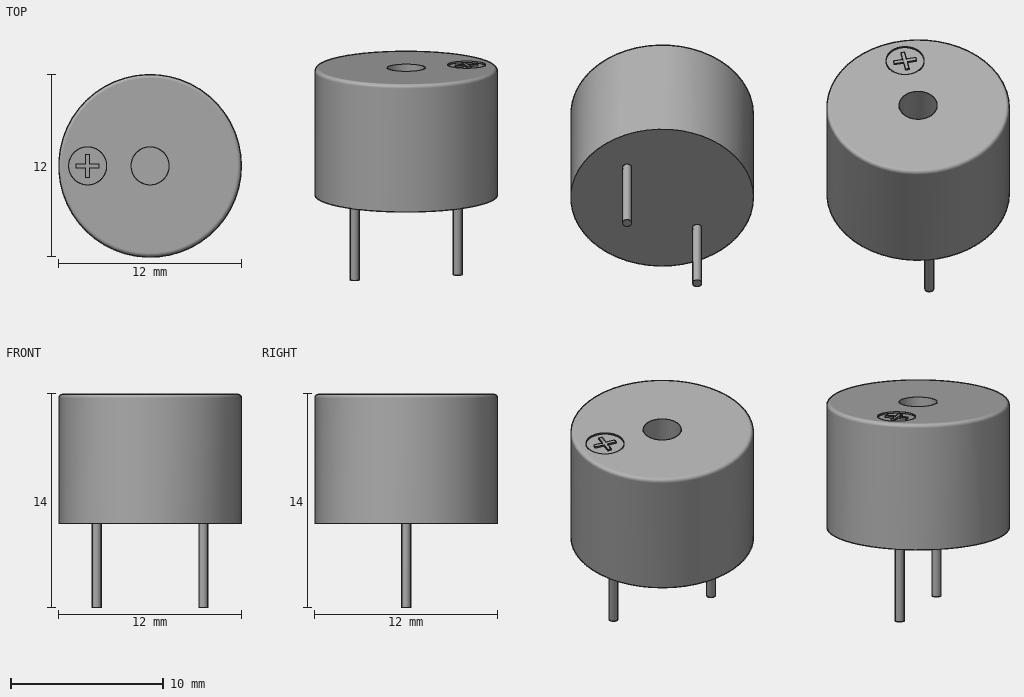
import cadquery as cq


case_diameter = 12.0
case_height = 8.5
top_edge_radius = 0.25

sound_hole_diameter = 2.5
sound_hole_depth = 3.0

mark_recess_diameter = 2.5
mark_recess_depth = 0.1
mark_offset = 4.1
plus_length = 1.5
plus_bar_width = 0.25

pin_diameter = 0.6
pin_length = 5.5
pin_spacing = 7.0


def make_case():
    case = cq.Workplane("XY").circle(case_diameter / 2).extrude(case_height)
    return case.faces(">Z").edges().fillet(top_edge_radius)


def make_top_pocket(x, diameter, depth):
    """Cutter for a round flat-bottomed pocket sunk into the top face."""
    pocket_floor = cq.Workplane("XY", origin=(x, 0, case_height - depth))
    return pocket_floor.circle(diameter / 2).extrude(depth)


def make_plus_sign():
    """Plus sign rising from the recess floor to the level of the top face."""
    floor = cq.Workplane("XY", origin=(-mark_offset, 0, case_height - mark_recess_depth))
    bar_along_x = floor.rect(plus_length, plus_bar_width).extrude(mark_recess_depth)
    bar_along_y = floor.rect(plus_bar_width, plus_length).extrude(mark_recess_depth)
    return bar_along_x.union(bar_along_y)


def make_pins():
    pin_positions = [(-pin_spacing / 2, 0), (pin_spacing / 2, 0)]
    underside = cq.Workplane("XY").pushPoints(pin_positions)
    return underside.circle(pin_diameter / 2).extrude(-pin_length)


sound_hole = make_top_pocket(0, sound_hole_diameter, sound_hole_depth)
mark_recess = make_top_pocket(-mark_offset, mark_recess_diameter, mark_recess_depth)

result = make_case().cut(sound_hole).cut(mark_recess).union(make_plus_sign()).union(make_pins())